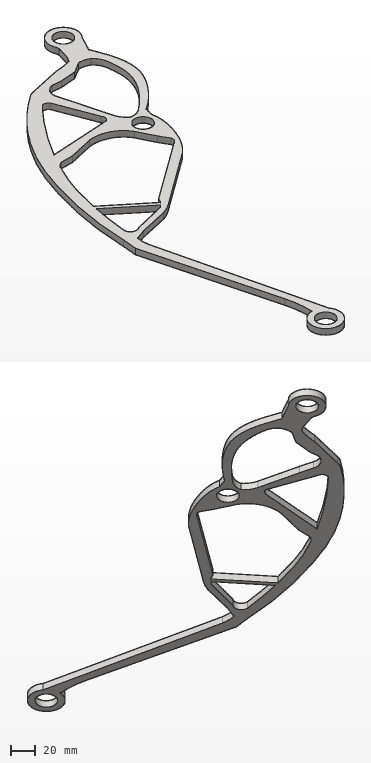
import cadquery as cq
import math

thickness = 6.5
total_length = 490.0
hole_diameter = 18.0
eye_diameter = 30.5
eye_spacing = total_length - eye_diameter
middle_hole_x = 139.5
hole_centers = [(0, 0), (middle_hole_x, 0), (eye_spacing, 0)]

strut_top = (251.5, -39.0)
strut_bottom = (230.5, -93.0)
strut_width = 4.0


def plate(profile):
    """Close a profile and give it the plate thickness."""
    return profile.close().extrude(thickness)


def body_blank():
    """Solid outline between the two end eyes, starting inside the left eye."""
    profile = (
        cq.Workplane("XY")
        .lineTo(4.0, 14.0)
        .lineTo(24.5, 10.5)
        .spline([(37.5, 20.0), (57.0, 30.0), (73.0, 32.5), (89.0, 29.5), (107.0, 22.0), (122.5, 12.0)],
                includeCurrent=True)
        .lineTo(131.5, 12.0)
        .spline([(142.0, 15.5), (157.5, 17.0), (173.5, 15.5), (191.0, 9.5)], includeCurrent=True)
        .lineTo(251.5, -34.5)
        .threePointArc((257.5, -39.0), (263.0, -45.0))
        .lineTo(279.5, -71.5)
        .lineTo(286.5, -81.0)
        .threePointArc((293.0, -79.5), (299.0, -77.0))
        .lineTo(448.0, 9.5)
        .lineTo(eye_spacing, 0)
        .lineTo(445.0, -5.5)
        .threePointArc((434.0, -9.0), (419.5, -16.0))
        .lineTo(299.0, -89.0)
        .lineTo(283.5, -92.0)
        .spline([(257.0, -98.0), (228.0, -102.0), (193.5, -103.5), (154.5, -101.0), (109.7, -88.5), (64.0, -63.0)],
                includeCurrent=True)
        .threePointArc((61.0, -60.8), (59.0, -57.5))
        .lineTo(40.5, -27.5)
        .threePointArc((37.0, -19.5), (32.5, -12.0))
        .lineTo(27.5, -10.5)
        .lineTo(12.5, -10.5)
        .lineTo(5.0, -13.5)
    )
    return plate(profile)


def left_window():
    """Rounded window under the arch."""
    profile = (
        cq.Workplane("XY")
        .moveTo(37.0, 6.0)
        .spline([(43.5, 13.5), (52.5, 18.0), (65.5, 22.0), (83.5, 22.0), (104.0, 15.0), (121.5, 5.0)],
                includeCurrent=True)
        .threePointArc((125.5, 0.5), (127.5, -5.5))
        .threePointArc((124.0, -11.5), (118.5, -16.0))
        .lineTo(85.0, -36.7)
        .lineTo(74.0, -43.5)
        .threePointArc((65.5, -45.5), (57.5, -39.0))
        .lineTo(55.5, -30.5)
        .lineTo(48.5, -14.5)
        .lineTo(38.0, -6.0)
        .threePointArc((36.7, 0.0), (37.0, 6.0))
    )
    return plate(profile)


def triangular_window():
    """Window between the two diagonal braces and the lower rail."""
    profile = (
        cq.Workplane("XY")
        .moveTo(115.5, -25.5)
        .threePointArc((120.5, -23.5), (124.0, -26.5))
        .lineTo(148.0, -85.0)
        .threePointArc((113.5, -74.5), (80.0, -60.5))
        .threePointArc((78.5, -56.5), (80.5, -52.5))
    )
    return plate(profile)


def large_window():
    """Window right of the middle hole, before the strut divides it."""
    profile = (
        cq.Workplane("XY")
        .moveTo(169.5, 10.0)
        .threePointArc((172.5, 11.0), (175.5, 10.0))
        .lineTo(243.5, -39.5)
        .lineTo(248.5, -40.0)
        .lineTo(255.0, -43.5)
        .lineTo(273.5, -73.0)
        .threePointArc((276.5, -79.5), (271.5, -85.2))
        .spline([(257.0, -87.5), (228.0, -91.0), (201.5, -92.0), (168.0, -88.5)], includeCurrent=True)
        .threePointArc((163.0, -87.0), (160.0, -84.5))
        .lineTo(156.5, -72.5)
        .lineTo(142.0, -49.5)
        .spline([(138.5, -33.5), (140.5, -23.0), (147.5, -12.0)], includeCurrent=True)
        .lineTo(161.5, 1.5)
    )
    return plate(profile)


def strut():
    """Straight bar centred on the line between its two end points."""
    run = strut_top[0] - strut_bottom[0]
    rise = strut_top[1] - strut_bottom[1]
    bar = cq.Workplane("XY").box(math.hypot(run, rise), strut_width, thickness, centered=(True, True, False))
    middle = ((strut_top[0] + strut_bottom[0]) / 2, (strut_top[1] + strut_bottom[1]) / 2, 0)
    return bar.rotate((0, 0, 0), (0, 0, 1), math.degrees(math.atan2(rise, run))).translate(middle)


end_eyes = cq.Workplane("XY").pushPoints([hole_centers[0], hole_centers[-1]]).circle(eye_diameter / 2)
holes = cq.Workplane("XY").pushPoints(hole_centers).circle(hole_diameter / 2)

result = body_blank().union(end_eyes.extrude(thickness))
for window in (left_window(), triangular_window(), large_window()):
    result = result.cut(window)
result = result.union(strut()).cut(holes.extrude(thickness))